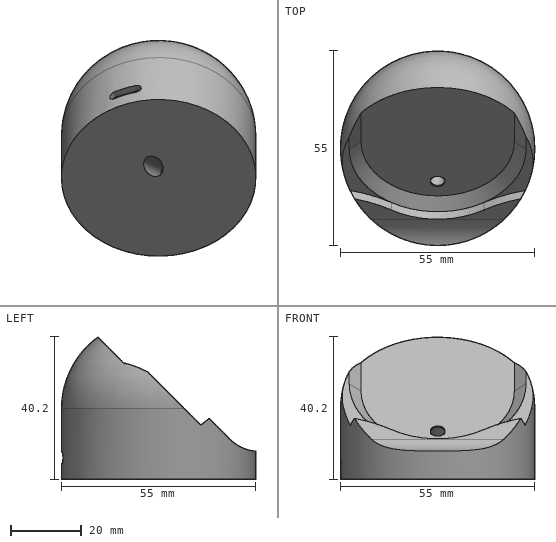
import cadquery as cq
import math

body_diameter = 55.0
body_radius = body_diameter / 2
dome_base_height = 20.0
dome_arc_radius = 25.0

slope_angle = 45.0
rim_height_on_axis = 27.3
seat_depth = 3.0
lip_height = 3.0

cut_reach = 80.0

seat_center_drop = 0.35
seat_rim_radius = 25.0
seat_floor_radius = 21.67

lip_center_half_width = 13.06
lip_outer_radius = 40.0

front_blend_radius = 11.5
front_height = 8.0

hole_mouth_diameter = 4.1
hole_mouth_depth = 0.5
hole_bore_diameter = 5.2
hole_center_distance = 15.9

slot_length = 9.4
slot_width = 3.2
slot_center_height = 6.1
slot_depth = 2.0

slope_sine = math.sin(math.radians(slope_angle))
slope_cosine = math.cos(math.radians(slope_angle))


def slope_plane(offset):
    """Plane parallel to the rim at a normal offset, centered on the seat; local Y is uphill."""
    normal = cq.Vector(0, -slope_sine, slope_cosine)
    uphill = cq.Vector(0, slope_cosine, slope_sine)
    rim_on_axis = cq.Vector(0, 0, rim_height_on_axis)
    origin = rim_on_axis + normal * offset - uphill * seat_center_drop
    return cq.Plane(origin=origin, xDir=(1, 0, 0), normal=normal)


def make_body():
    """Cylinder rounded into a dome by a large top fillet."""
    return (
        cq.Workplane("XY")
        .circle(body_radius)
        .extrude(dome_base_height + dome_arc_radius)
        .faces(">Z")
        .edges()
        .fillet(dome_arc_radius)
    )


def make_front_cut():
    """Everything above the lip slope and its blend at the front edge."""
    lip_level = rim_height_on_axis + lip_height / slope_cosine
    blend_end_z = front_height + front_blend_radius * (1 - slope_cosine)
    blend_end_y = blend_end_z - lip_level
    flat_y = blend_end_y - front_blend_radius * slope_sine
    half_angle = math.radians(slope_angle / 2)
    arc_middle = (
        flat_y + front_blend_radius * math.sin(half_angle),
        front_height + front_blend_radius * (1 - math.cos(half_angle)),
    )
    return (
        cq.Workplane("YZ")
        .moveTo(flat_y, front_height)
        .threePointArc(arc_middle, (blend_end_y, blend_end_z))
        .lineTo(cut_reach - lip_level, cut_reach)
        .lineTo(flat_y, cut_reach)
        .close()
        .extrude(cut_reach, both=True)
    )


def make_rim_cut():
    """Everything above the rim plane on the uphill side of the lip."""
    join_angle = math.asin(lip_center_half_width / seat_rim_radius)
    join_y = -seat_rim_radius * math.cos(join_angle)
    outer_center_x = lip_center_half_width + lip_outer_radius * math.sin(join_angle)
    outer_center_y = join_y - lip_outer_radius * math.cos(join_angle)
    outer_top_y = outer_center_y + lip_outer_radius
    middle_x = lip_outer_radius * math.sin(join_angle / 2)
    middle_y = outer_center_y + lip_outer_radius * math.cos(join_angle / 2)
    return (
        cq.Workplane(slope_plane(0))
        .moveTo(-outer_center_x, outer_top_y)
        .threePointArc((middle_x - outer_center_x, middle_y), (-lip_center_half_width, join_y))
        .threePointArc((0, -seat_rim_radius), (lip_center_half_width, join_y))
        .threePointArc((outer_center_x - middle_x, middle_y), (outer_center_x, outer_top_y))
        .lineTo(outer_center_x, cut_reach)
        .lineTo(-outer_center_x, cut_reach)
        .close()
        .extrude(cut_reach)
    )


def make_seat_cut():
    """Recess below the rim, its walls flaring from the floor up to the rim."""
    flare_angle = math.degrees(math.atan((seat_rim_radius - seat_floor_radius) / seat_depth))
    return (
        cq.Workplane(slope_plane(-seat_depth))
        .moveTo(-seat_floor_radius, 0)
        .threePointArc((0, -seat_floor_radius), (seat_floor_radius, 0))
        .lineTo(seat_floor_radius, cut_reach)
        .lineTo(-seat_floor_radius, cut_reach)
        .close()
        .extrude(seat_depth, taper=-flare_angle)
    )


def make_hole():
    """Mouth in the seat floor with a wider bore behind it, running through to the base."""

    def hole_section(start_offset, diameter, length):
        return (
            cq.Workplane(slope_plane(start_offset))
            .center(0, -hole_center_distance)
            .circle(diameter / 2)
            .extrude(-length)
        )

    mouth_bottom = -seat_depth - hole_mouth_depth
    mouth = hole_section(0, hole_mouth_diameter, -mouth_bottom)
    bore = hole_section(mouth_bottom, hole_bore_diameter, cut_reach)
    return mouth.union(bore)


def make_back_slot():
    """Round-ended horizontal slot in the back wall."""
    return (
        cq.Workplane("XZ", origin=(0, body_radius, slot_center_height))
        .slot2D(slot_length, slot_width)
        .extrude(slot_depth)
    )


result = (
    make_body()
    .cut(make_front_cut())
    .cut(make_rim_cut())
    .cut(make_seat_cut())
    .cut(make_hole())
    .cut(make_back_slot())
)